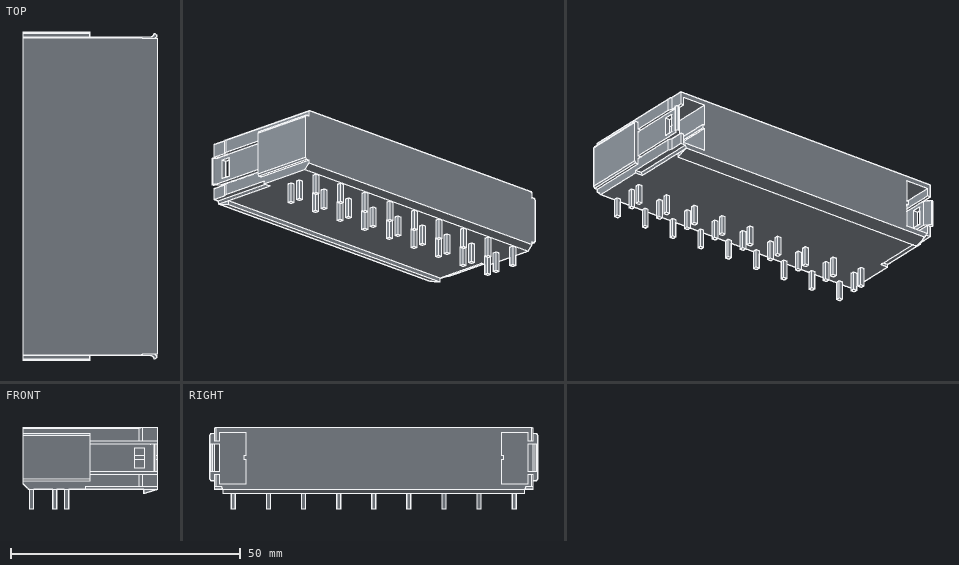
import cadquery as cq

total_width = 71.4
housing_length = 29.3
housing_top = 17.8
housing_bottom = 4.3
half_width = 34.7
nose_chamfer = 1.2
top_edge_chamfer = 0.2

rebate_start = 13.6
rebate_height = 0.65
rebate_slope = 0.3

step_start = 25.2
step_end = 26.05
step_depth = 0.35

cheek_length = 14.55
cheek_bottom = 6.15
cheek_top = 16.5
cheek_bevel_height = 0.4
cheek_bevel_depth = 0.3

tab_middle = 11.1
tab_height = 6.0
tab_thickness = 1.15
tab_gap = 0.65
slot_height = tab_height + 2 * tab_gap
flare_start = 27.8
flare_crest = 28.5
flare_crest_width = 0.3
flare_out = 0.7
flare_end = 29.1
window_start = 24.3
window_length = 2.15
window_height = 4.3

pocket_depth = 5.7
pocket_wall = 1.15
rib_middle = 11.3
rib_height = 0.85
rib_depth = 0.4

latch_start = 26.3
latch_height = 0.9
latch_width = 65.7

pin_size = 0.9
pin_length = 5.5
pin_rows = (1.85, 6.9, 9.5)
pins_per_row = 9
pin_pitch = 7.65


def box(x_range, y_range, z_range):
    """Axis-aligned box given by its start and end along each axis."""
    ranges = (x_range, y_range, z_range)
    sizes = [end - start for start, end in ranges]
    corner = tuple(start for start, end in ranges)
    return cq.Workplane("XY").box(*sizes, centered=False).translate(corner)


def span(middle, size):
    """Start and end of a stretch centred on a value."""
    return (middle - size / 2, middle + size / 2)


def on_both_ends(shape):
    """The shape joined with its mirror image at the other Y end."""
    return shape.union(shape.mirror("XZ"))


def housing():
    side_outline = [
        (0, housing_top),
        (housing_length, housing_top),
        (housing_length, housing_bottom),
        (nose_chamfer, housing_bottom),
        (0, housing_bottom + nose_chamfer),
    ]
    body = cq.Workplane("XZ").polyline(side_outline).close().extrude(half_width, both=True)
    return body.faces(">Z").edges("|X").chamfer(top_edge_chamfer)


def rebate_cut():
    """Edge rebate whose sloping inner wall reaches the bottom face in line with the latch end."""
    inner_y = -latch_width / 2
    ceiling = housing_bottom + rebate_height
    profile = [
        (-half_width, housing_bottom),
        (-half_width, ceiling),
        (inner_y - rebate_slope, ceiling),
        (inner_y, housing_bottom),
    ]
    length = housing_length - rebate_start
    return cq.Workplane("YZ", origin=(rebate_start, 0, 0)).polyline(profile).close().extrude(length)


def step_cut():
    outline = [
        (step_start, -half_width),
        (step_end, -half_width + step_depth),
        (housing_length, -half_width + step_depth),
        (housing_length, -half_width),
    ]
    return cq.Workplane("XY").polyline(outline).close().extrude(housing_top)


def slot_cut():
    y_range = (-half_width, -half_width + tab_thickness)
    return box((cheek_length, housing_length), y_range, span(tab_middle, slot_height))


def pocket_cut():
    inner_y = -half_width + tab_thickness + pocket_depth
    z_range = (housing_bottom + pocket_wall, housing_top - pocket_wall)
    pocket = box((cheek_length, housing_length), (-half_width + tab_thickness, inner_y), z_range)
    rib = box((cheek_length, housing_length), (inner_y - rib_depth, inner_y), span(rib_middle, rib_height))
    return pocket.cut(rib)


def cheek():
    outer = -total_width / 2
    bevelled = outer + cheek_bevel_depth
    profile = [
        (-half_width, cheek_bottom),
        (bevelled, cheek_bottom),
        (outer, cheek_bottom + cheek_bevel_height),
        (outer, cheek_top - cheek_bevel_height),
        (bevelled, cheek_top),
        (-half_width, cheek_top),
    ]
    return cq.Workplane("YZ").polyline(profile).close().extrude(cheek_length)


def spring_tab():
    outer = -half_width
    inner = outer + tab_thickness
    crest = outer - flare_out
    plan = (
        cq.Workplane("XY", origin=(0, 0, tab_middle - tab_height / 2))
        .moveTo(cheek_length, inner)
        .lineTo(cheek_length, outer)
        .lineTo(flare_start, outer)
        .tangentArcPoint((flare_crest, crest), relative=False)
        .lineTo(flare_crest + flare_crest_width, crest)
        .lineTo(flare_end, outer - flare_out / 2)
        .lineTo(flare_end, outer)
        .lineTo(flare_start, inner)
        .close()
    )
    tab = plan.extrude(tab_height)
    window_x = (window_start, window_start + window_length)
    return tab.cut(box(window_x, (outer, inner), span(tab_middle, window_height)))


def latch():
    wedge = [
        (latch_start, housing_bottom),
        (latch_start, housing_bottom - latch_height),
        (housing_length, housing_bottom),
    ]
    return cq.Workplane("XZ").polyline(wedge).close().extrude(latch_width / 2, both=True)


def pins():
    first_y = -pin_pitch * (pins_per_row - 1) / 2
    places = [(x, first_y + i * pin_pitch) for x in pin_rows for i in range(pins_per_row)]
    return cq.Workplane("XY").pushPoints(places).rect(pin_size, pin_size).extrude(pin_length)


result = housing()
for cut in (rebate_cut(), step_cut(), slot_cut(), pocket_cut()):
    result = result.cut(on_both_ends(cut))
for addition in (on_both_ends(cheek()), on_both_ends(spring_tab()), latch(), pins()):
    result = result.union(addition)